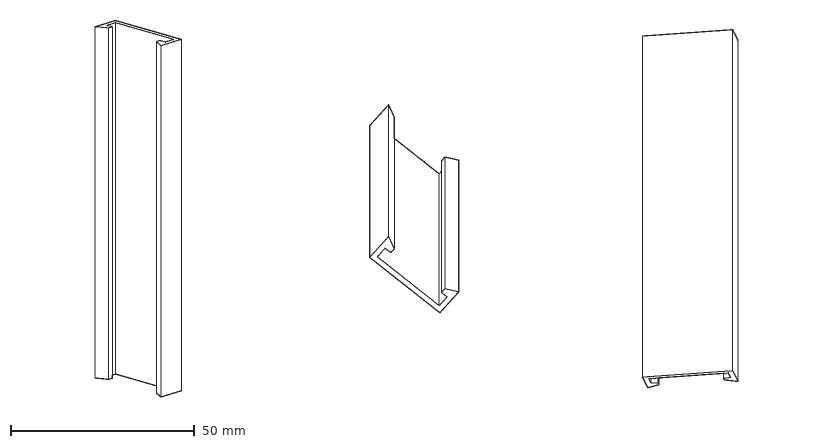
import cadquery as cq

width = 25.0
depth = 8.0
length = 100.0

wall = 1.5
mouth_width = 18.0
lip_inner_depth = 4.8
lip_slope = 0.5

half_width = width / 2
half_cavity = half_width - wall
half_mouth = mouth_width / 2
lip_outer_depth = depth - lip_slope * (half_width - half_mouth)

right_half = [
    (half_width, 0),
    (half_width, -depth),
    (half_mouth, -lip_outer_depth),
    (half_mouth, -lip_inner_depth),
    (half_cavity, -lip_inner_depth),
    (half_cavity, -wall),
]
left_half = [(-x, y) for x, y in reversed(right_half)]

result = cq.Workplane("XY").polyline(right_half + left_half).close().extrude(length)